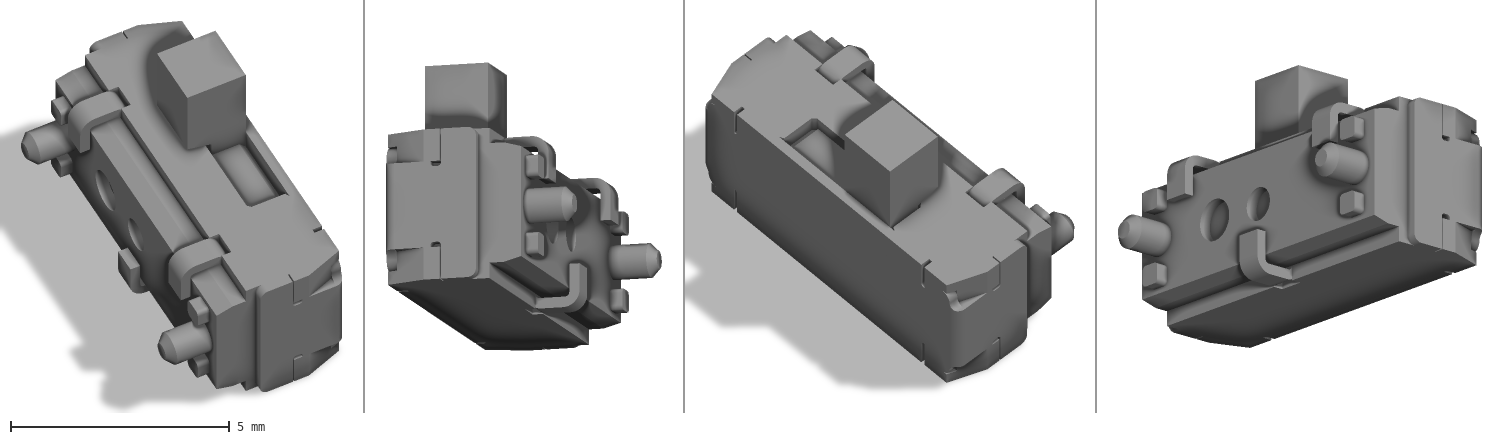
import cadquery as cq


LENGTH = 8.5
BODY_HEIGHT = 3.5
SHEET = 0.25
HALF_LENGTH = LENGTH / 2
HALF_HEIGHT = BODY_HEIGHT / 2

SHELL_DEPTH = 2.45
BODY_HALF_LENGTH = HALF_LENGTH - SHEET
EAR_DEPTH = 2.2
EAR_CORNER_RADIUS = 0.2

CORNER_CUT_HEIGHT = 0.75
CORNER_CUT_ALONG_X = 0.35
CORNER_CUT_ALONG_Y = 0.95
RECESS_TOP = 0.31
RECESS_BEND = 0.56

EAR_SLIT_Y = 1.35
EAR_SLIT_WIDTH = 0.03
EAR_HOLE_WIDTH = 0.255
EAR_HOLE_HEIGHT = 0.12
EAR_HOLE_RADIUS = 0.085
BACK_SLIT_X = 3.11
BACK_SLIT_WIDTH = 0.1
BACK_SLIT_RADIUS = 0.09

BASE_FRONT = 3.205
BASE_BEVEL_START = 2.79
BASE_INSET = 0.36
BASE_FRONT_INSET = 0.47

TAB_WIDTH = 0.61
TAB_FRONT = 3.5
TAB_HEIGHT = 1.0
TAB_OUTER_RADIUS = 0.4
TAB_INNER_RADIUS = 0.1
TOP_TAB_X = 2.5

PIN_X = 3.4
PIN_DIAMETER = 0.8
PIN_TIP = 4.3
PIN_TIP_CHAMFER = 0.195
POST_SIZE = 0.5
POST_Z = 0.9
POST_CORNER_RADIUS = 0.1
LARGE_POCKET_DIAMETER = 1.0
LARGE_POCKET_X = -1.505
SMALL_POCKET_DIAMETER = 0.8
POCKET_DEPTH = 0.3

WINDOW_HALF_LENGTH = 1.81
WINDOW_FRONT = 1.25
WINDOW_DEPTH = 0.425
WINDOW_CORNER = 0.085
WINDOW_FLARE = 0.11

KNOB_SIZE = 1.505
KNOB_LEFT = -1.76
KNOB_HEIGHT = 2.0
KNOB_SLOPE_TOP = 0.195
KNOB_SLOPE_BOTTOM = 0.04
NECK_FRONT = 1.13
FOOT_RIGHT = 1.68
FOOT_TOP = 0.34
FOOT_BOTTOM = 0.51
FOOT_BEVEL = 0.16


def box(x_range, y_range, z_range):
    """Box between the given limits on each axis."""
    corner = cq.Vector(x_range[0], y_range[0], z_range[0])
    size = [limits[1] - limits[0] for limits in (x_range, y_range, z_range)]
    return cq.Workplane(cq.Solid.makeBox(*size, corner))


def mirrored_four(shape):
    """The shape together with its mirror images across the X = 0 and Z = 0 planes."""
    pair = shape.add(shape.mirror("YZ"))
    return pair.add(pair.mirror("XY")).combine()


def extrude_along_x(profile, length):
    """Extrude a YZ profile symmetrically about X = 0."""
    return profile.extrude(length / 2, both=True)


def shell_block():
    """Shell with the rounded ears at both ends."""
    block = box(
        (-BODY_HALF_LENGTH, BODY_HALF_LENGTH), (-SHELL_DEPTH, 0), (-HALF_HEIGHT, HALF_HEIGHT)
    )
    ears = (
        box((-HALF_LENGTH, HALF_LENGTH), (-EAR_DEPTH, 0), (-HALF_HEIGHT, HALF_HEIGHT))
        .edges("|X and <Y").fillet(EAR_CORNER_RADIUS)
        .edges("|Z and >Y").fillet(SHEET)
    )
    return block.union(ears)


def corner_cut():
    """Slanted cut at the right upper back corner; its lower part leaves the back sheet uncut."""
    cut = (
        cq.Workplane("XY", origin=(0, 0, HALF_HEIGHT - CORNER_CUT_HEIGHT))
        .moveTo(HALF_LENGTH, 0)
        .lineTo(HALF_LENGTH - CORNER_CUT_ALONG_X, 0)
        .lineTo(HALF_LENGTH, -CORNER_CUT_ALONG_Y)
        .close()
        .extrude(CORNER_CUT_HEIGHT)
    )
    back_sheet = box(
        (0, HALF_LENGTH),
        (-SHEET, 0),
        (HALF_HEIGHT - CORNER_CUT_HEIGHT, HALF_HEIGHT - RECESS_TOP),
    )
    return cut.cut(back_sheet)


def corner_recess():
    """S-shaped recess under the slanted cut, as deep as the sheet."""
    upper_radius = RECESS_BEND - RECESS_TOP
    lower_radius = CORNER_CUT_HEIGHT - RECESS_BEND
    bend_x = HALF_LENGTH - SHEET
    bend_z = HALF_HEIGHT - RECESS_BEND
    return (
        cq.Workplane("XZ")
        .moveTo(HALF_LENGTH, HALF_HEIGHT - RECESS_TOP)
        .lineTo(bend_x - upper_radius, HALF_HEIGHT - RECESS_TOP)
        .radiusArc((bend_x, bend_z), upper_radius)
        .radiusArc((bend_x + lower_radius, bend_z - lower_radius), -lower_radius)
        .lineTo(HALF_LENGTH, bend_z - lower_radius)
        .close()
        .extrude(SHEET)
    )


def ear_relief():
    """Thin slit down the right ear, ending in a rounded relief hole."""
    hole_top = HALF_HEIGHT - CORNER_CUT_HEIGHT
    hole_back = EAR_SLIT_Y + EAR_SLIT_WIDTH / 2 - EAR_HOLE_WIDTH
    slit = box(
        (BODY_HALF_LENGTH, HALF_LENGTH),
        (-EAR_SLIT_Y - EAR_SLIT_WIDTH / 2, -EAR_SLIT_Y + EAR_SLIT_WIDTH / 2),
        (hole_top, HALF_HEIGHT),
    )
    hole = (
        box(
            (BODY_HALF_LENGTH, HALF_LENGTH),
            (-hole_back - EAR_HOLE_WIDTH, -hole_back),
            (hole_top - EAR_HOLE_HEIGHT, hole_top),
        )
        .edges("|X and <Z").fillet(EAR_HOLE_RADIUS)
    )
    return slit.union(hole)


def back_slit():
    """Slit in the right upper part of the back sheet, rounded at its inner floor edge."""
    slit = box(
        (BACK_SLIT_X - BACK_SLIT_WIDTH / 2, BACK_SLIT_X + BACK_SLIT_WIDTH / 2),
        (-SHEET, 0),
        (HALF_HEIGHT - CORNER_CUT_HEIGHT, HALF_HEIGHT),
    )
    return slit.edges("|Y and <Z and <X").fillet(BACK_SLIT_RADIUS)


def base():
    """Plastic base with bevelled upper and lower edges."""
    inset_z = HALF_HEIGHT - BASE_INSET
    front_z = HALF_HEIGHT - BASE_FRONT_INSET
    profile = cq.Workplane("YZ").polyline([
        (-SHELL_DEPTH, inset_z),
        (-BASE_BEVEL_START, inset_z),
        (-BASE_FRONT, front_z),
        (-BASE_FRONT, -front_z),
        (-BASE_BEVEL_START, -inset_z),
        (-SHELL_DEPTH, -inset_z),
    ]).close()
    return extrude_along_x(profile, 2 * BODY_HALF_LENGTH)


def tab():
    """Upper tab at X = 0: a strip bent down into the shell at the back and down over the base in front."""
    back = -SHELL_DEPTH + SHEET
    top = HALF_HEIGHT
    leg_end = top - TAB_HEIGHT
    strip = box((-TAB_WIDTH / 2, TAB_WIDTH / 2), (-TAB_FRONT, back), (leg_end, top))
    strip = strip.edges("|X and >Z").fillet(TAB_OUTER_RADIUS)
    hollow = box(
        (-TAB_WIDTH / 2, TAB_WIDTH / 2), (-TAB_FRONT + SHEET, -SHELL_DEPTH), (leg_end, top - SHEET)
    )
    hollow = hollow.edges("|X and >Z").fillet(TAB_INNER_RADIUS)
    return strip.cut(hollow)


def tab_notch():
    """Notch in the shell that frees the rear bend of an upper tab at X = 0."""
    return box(
        (-TAB_WIDTH / 2, TAB_WIDTH / 2),
        (-SHELL_DEPTH, -SHELL_DEPTH + SHEET),
        (HALF_HEIGHT - TAB_OUTER_RADIUS, HALF_HEIGHT),
    )


def place_tabs(shape):
    """Copies of an upper tab shape at the two upper and the one lower tab places."""
    copies = shape.translate((-TOP_TAB_X, 0, 0)).add(shape.translate((TOP_TAB_X, 0, 0)))
    return copies.add(shape.mirror("XY")).combine()


def pins():
    """Two locating pins with chamfered tips."""
    return (
        cq.Workplane("XZ", origin=(0, -BASE_FRONT, 0))
        .pushPoints([(-PIN_X, 0), (PIN_X, 0)])
        .circle(PIN_DIAMETER / 2)
        .extrude(PIN_TIP - BASE_FRONT)
        .faces("<Y").chamfer(PIN_TIP_CHAMFER)
    )


def posts():
    """Four rounded square posts around the pins."""
    return (
        cq.Workplane("XZ", origin=(0, -BASE_FRONT, 0))
        .rect(2 * PIN_X, 2 * POST_Z, forConstruction=True)
        .vertices()
        .rect(POST_SIZE, POST_SIZE)
        .extrude(TAB_FRONT - BASE_FRONT)
        .edges("|Y").fillet(POST_CORNER_RADIUS)
    )


def front_pocket(x, diameter):
    """Round blind pocket in the front of the base."""
    return (
        cq.Workplane("XZ", origin=(x, -BASE_FRONT + POCKET_DEPTH, 0))
        .circle(diameter / 2)
        .extrude(POCKET_DEPTH)
    )


def window(depth):
    """Slider window, flared at its back corners."""
    return (
        cq.Workplane("XY", origin=(0, 0, HALF_HEIGHT - depth))
        .polyline([
            (-WINDOW_HALF_LENGTH - WINDOW_FLARE, -SHEET),
            (-WINDOW_HALF_LENGTH, -SHEET - WINDOW_FLARE / 2),
            (-WINDOW_HALF_LENGTH, -WINDOW_FRONT + WINDOW_CORNER),
            (-WINDOW_HALF_LENGTH + WINDOW_CORNER, -WINDOW_FRONT),
            (WINDOW_HALF_LENGTH - WINDOW_CORNER, -WINDOW_FRONT),
            (WINDOW_HALF_LENGTH, -WINDOW_FRONT + WINDOW_CORNER),
            (WINDOW_HALF_LENGTH, -SHEET - WINDOW_FLARE / 2),
            (WINDOW_HALF_LENGTH + WINDOW_FLARE, -SHEET),
        ])
        .close()
        .extrude(depth)
    )


def foot_recess():
    """Deeper part of the window that holds the slider foot, leaving a ledge at the right end."""
    ledge = box(
        (FOOT_RIGHT, HALF_LENGTH),
        (-WINDOW_FRONT, -SHEET - FOOT_BEVEL),
        (HALF_HEIGHT - FOOT_BOTTOM, HALF_HEIGHT - WINDOW_DEPTH),
    )
    return window(FOOT_BOTTOM).cut(ledge)


def make_housing():
    """Shell, base, tabs, pins and posts as one solid."""
    shell = shell_block()
    for cut in (corner_cut(), corner_recess(), ear_relief(), back_slit()):
        shell = shell.cut(mirrored_four(cut))
    body = shell.union(base()).cut(place_tabs(tab_notch())).union(place_tabs(tab()))
    body = body.union(pins()).union(posts())
    body = body.cut(front_pocket(LARGE_POCKET_X, LARGE_POCKET_DIAMETER))
    body = body.cut(front_pocket(0, SMALL_POCKET_DIAMETER))
    return body.cut(window(WINDOW_DEPTH)).cut(foot_recess())


def make_slider():
    """Knob with a sloped overhang, its neck and the foot that fills most of the window."""
    floor = HALF_HEIGHT - FOOT_BOTTOM
    foot_top = HALF_HEIGHT - FOOT_TOP
    foot = (
        cq.Workplane("YZ", origin=(-WINDOW_HALF_LENGTH, 0, 0))
        .polyline([
            (-SHEET, floor),
            (-SHEET - FOOT_BEVEL, foot_top),
            (-WINDOW_FRONT, foot_top),
            (-WINDOW_FRONT, floor),
        ])
        .close()
        .extrude(WINDOW_HALF_LENGTH + FOOT_RIGHT)
        .intersect(window(FOOT_BOTTOM))
    )
    knob = (
        cq.Workplane("YZ", origin=(KNOB_LEFT, 0, 0))
        .polyline([
            (-SHEET, floor),
            (-SHEET, HALF_HEIGHT + KNOB_HEIGHT),
            (-SHEET - KNOB_SIZE, HALF_HEIGHT + KNOB_HEIGHT),
            (-SHEET - KNOB_SIZE, HALF_HEIGHT + KNOB_SLOPE_TOP),
            (-NECK_FRONT, HALF_HEIGHT + KNOB_SLOPE_BOTTOM),
            (-NECK_FRONT, floor),
        ])
        .close()
        .extrude(KNOB_SIZE)
    )
    return knob.union(foot)


housing = make_housing()
slider = make_slider()

result = cq.Compound.makeCompound([housing.solids().val(), slider.solids().val()])